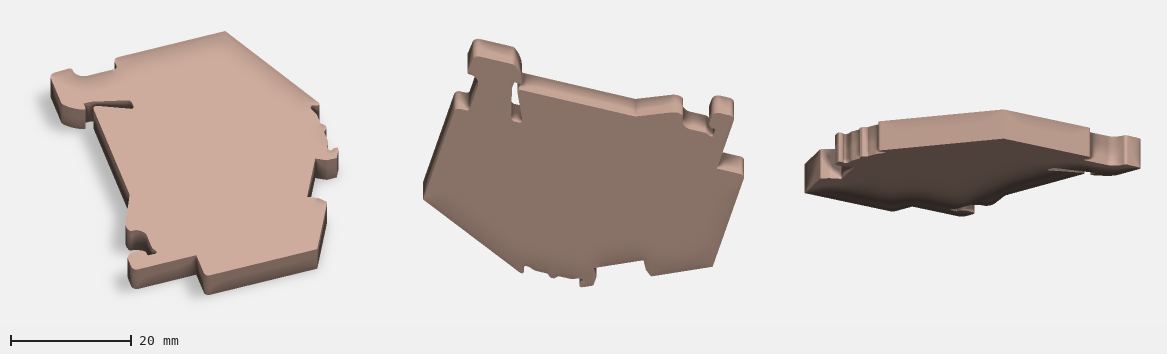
import cadquery as cq
import math


thickness = 5.0
half_width = 25.0
total_height = 40.75
shoulder_y = 30.72
body_bottom_y = 11.2
body_corner_radius = 0.8
roof_angle = math.radians(27)
roof_slope = math.tan(roof_angle)

hook_tip_x = 4.85
hook_tip_radius = 0.2
roof_top_radius = 0.5
hook_neck_y = 40.05
hook_throat_x = 5.15
hook_throat_y = 39.6
groove_bottom_y = 39.12
groove_radius = 0.4
groove_end_x = 4.4
ledge_x = 3.1
ledge_y = 39.62
ledge_radius = 1.5
ridge_base_half = 0.95
ridge_top_half = 0.33
ridge_top_y = 40.28
ridge_radius = 0.15

right_hook_x = 7.03
right_hook_wall_y = 38.15
notch_depth = 3.5
notch_left_x = 6.07
notch_width = 8.45
notch_wall_height = 2.0
notch_lead_x = 15.7
notch_lead_radius = 0.35

foot_left_x = -25.17
foot_lower_left_x = -24.95
foot_top_y = 4.0
foot_top_radius = 0.5
foot_corner_radius = 0.95
neck_left_x = -22.68
neck_top_radius = 0.5
neck_bottom_radius = 1.9
foot_bottom_right_x = -18.1
foot_toe_radius = 1.0
toe_knee_x = -16.4
toe_knee_y = 1.45
toe_knee_radius = 6.7
toe_tip_x = -15.7
toe_top_y = 3.5
toe_tip_radius = 0.2

slot_left_x = -17.08
slot_bend_y = 4.8
slot_bend_radius = 1.0
slot_top_left_x = -15.4
slot_top_right_x = -13.35
slot_left_radius = 0.8
slot_right_radius = 0.4
slot_mouth_x = -15.97
slot_mouth_y = 5.4
slot_mouth_corner_radius = 0.5

seat_y = 4.69
wedge_start_x = 4.2
wedge_tip_x = 10.45
wedge_tip_y = 1.89
wedge_tip_radius = 2.2
wedge_end_x = 11.8
wedge_end_y = 2.25
wedge_end_radius = 0.5
wedge_hollow_radius = 1.9

relief_start_x = 16.4
relief_top_x = 17.3
relief_top_y = 5.15
relief_radius = 0.3
latch_inner_x = 17.73
latch_top_y = 3.5
latch_throat_radius = 0.15
latch_left_x = 16.3
latch_lower_left_x = 16.42
latch_top_radius = 1.0
latch_bottom_y = 0.15
latch_corner_radius = 1.1
latch_outer_corner_radius = 0.95
latch_right_x = 20.13


def roof_y(x):
    """Height of the roof line, which falls equally on both sides of X = 0."""
    return shoulder_y + (half_width - abs(x)) * roof_slope


def left_label_holder():
    """Left half of the label holder, from the hook tip to the middle ridge."""
    roof_top_x = half_width - (total_height - shoulder_y) / roof_slope
    return [
        (-roof_top_x, total_height, roof_top_radius),
        (-hook_tip_x, total_height, hook_tip_radius),
        (-hook_tip_x, hook_neck_y, hook_tip_radius),
        (-hook_throat_x, hook_throat_y, hook_tip_radius),
        (-hook_throat_x, groove_bottom_y, groove_radius),
        (-groove_end_x, groove_bottom_y, groove_radius),
        (-ledge_x, ledge_y, ledge_radius),
        (-ridge_base_half, ledge_y, 0),
        (-ridge_top_half, ridge_top_y, ridge_radius),
    ]


def mirrored(points):
    return [(-x, y, radius) for x, y, radius in reversed(points)]


def roof_notch():
    """Right-hand hook face and the notch, whose floor is parallel to the roof."""
    floor_left_y = roof_y(notch_left_x) - notch_depth / math.cos(roof_angle)
    floor_right_x = notch_left_x + notch_width * math.cos(roof_angle)
    floor_right_y = floor_left_y - notch_width * math.sin(roof_angle)
    wall_top_x = floor_right_x + notch_wall_height * math.sin(roof_angle)
    wall_top_y = floor_right_y + notch_wall_height * math.cos(roof_angle)
    return [
        (right_hook_x, roof_y(right_hook_x), 0),
        (right_hook_x, right_hook_wall_y, 0),
        (notch_left_x, floor_left_y, 0),
        (floor_right_x, floor_right_y, 0),
        (wall_top_x, wall_top_y, notch_lead_radius),
        (notch_lead_x, roof_y(notch_lead_x), notch_lead_radius),
    ]


def right_side():
    return [
        (half_width, shoulder_y, 0),
        (half_width, body_bottom_y, body_corner_radius),
        (latch_right_x, body_bottom_y, 0),
    ]


def sprung_foot():
    return [
        (latch_right_x, latch_bottom_y, latch_outer_corner_radius),
        (latch_lower_left_x, latch_bottom_y, latch_corner_radius),
        (latch_left_x, latch_top_y, latch_top_radius),
        (latch_inner_x, latch_top_y, latch_throat_radius),
        (latch_inner_x, relief_top_y, relief_radius),
        (relief_top_x, relief_top_y, relief_radius),
        (relief_start_x, seat_y, 0),
    ]


def rail_seat():
    return [
        (wedge_end_x, seat_y, wedge_hollow_radius),
        (wedge_end_x, wedge_end_y, wedge_end_radius),
        (wedge_tip_x, wedge_tip_y, wedge_tip_radius),
        (wedge_start_x, seat_y, 0),
    ]


def spring_slot():
    return [
        (slot_mouth_x, seat_y, slot_mouth_corner_radius),
        (slot_mouth_x, slot_mouth_y, slot_mouth_corner_radius),
        (slot_top_right_x, body_bottom_y, slot_right_radius),
        (slot_top_left_x, body_bottom_y, slot_left_radius),
        (slot_left_x, slot_bend_y, slot_bend_radius),
        (slot_left_x, toe_top_y, 0),
    ]


def fixed_foot():
    return [
        (toe_tip_x, toe_top_y, toe_tip_radius),
        (toe_knee_x, toe_knee_y, toe_knee_radius),
        (foot_bottom_right_x, 0, foot_toe_radius),
        (foot_lower_left_x, 0, foot_corner_radius),
        (foot_left_x, foot_top_y, foot_top_radius),
        (neck_left_x, foot_top_y, neck_bottom_radius),
        (neck_left_x, body_bottom_y, neck_top_radius),
    ]


def left_side():
    return [
        (-half_width, body_bottom_y, body_corner_radius),
        (-half_width, shoulder_y, 0),
    ]


def corner_arc(before, corner, after):
    """Start, middle and end of the arc that rounds one corner of the outline."""
    x, y, radius = corner
    point = cq.Vector(x, y)
    to_before = (cq.Vector(before[0], before[1]) - point).normalized()
    to_after = (cq.Vector(after[0], after[1]) - point).normalized()
    half_angle = to_before.getAngle(to_after) / 2
    setback = radius / math.tan(half_angle)
    bisector = (to_before + to_after).normalized()
    middle = point + bisector * (radius / math.sin(half_angle) - radius)
    return point + to_before * setback, middle, point + to_after * setback


def rounded_outline(corners):
    """Closed wire through (x, y, radius) corners; radius 0 leaves a corner sharp."""
    edges = []
    first_point = None
    last_point = None
    for index, corner in enumerate(corners):
        x, y, radius = corner
        start = end = cq.Vector(x, y)
        if radius > 0:
            following = corners[(index + 1) % len(corners)]
            start, middle, end = corner_arc(corners[index - 1], corner, following)
        if last_point is None:
            first_point = start
        else:
            edges.append(cq.Edge.makeLine(last_point, start))
        if radius > 0:
            edges.append(cq.Edge.makeThreePointArc(start, middle, end))
        last_point = end
    edges.append(cq.Edge.makeLine(last_point, first_point))
    return cq.Wire.assembleEdges(edges)


label_holder_half = left_label_holder()
right_holder_half = mirrored(label_holder_half)
outline = (
    label_holder_half
    + right_holder_half
    + roof_notch()
    + right_side()
    + sprung_foot()
    + rail_seat()
    + spring_slot()
    + fixed_foot()
    + left_side()
)

housing = cq.Solid.extrudeLinear(rounded_outline(outline), [], cq.Vector(0, 0, thickness))
result = cq.Workplane("XY").newObject([housing])